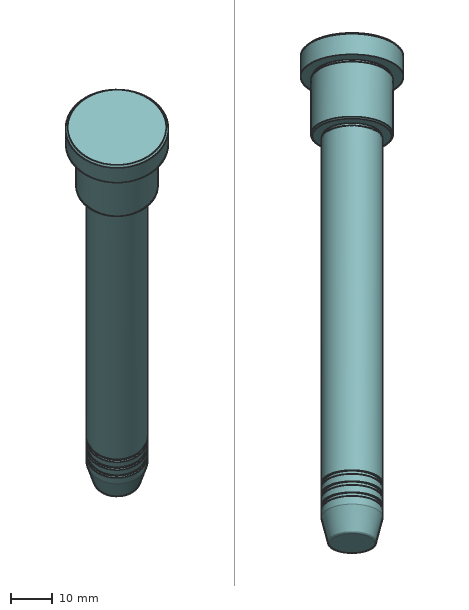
import cadquery as cq

total_length = 132.0
head_height = 6.1
collar_bottom_depth = 22.0
tip_height = 7.0

head_radius = 12.5
collar_radius = 10.0
shank_radius = 7.5
tip_radius = 5.8

head_chamfer = 0.5
collar_chamfer = 0.4
tip_fillet = 0.4

relief_height = 0.8
neck_depth = 0.33

groove_count = 3
groove_span = 6.0
groove_pitch = groove_span / (groove_count - 1)
groove_width = 1.0
groove_depth = 0.4
groove_bevel_height = 0.3
lowest_groove_top = 10.2


def cylinder(radius, bottom, top):
    """Solid cylinder on the Z axis between two heights."""
    return cq.Workplane("XY").workplane(offset=bottom).circle(radius).extrude(top - bottom)


def bevelled_groove(radius, top, width):
    """Ring with a flat upper wall, a straight floor and a bevelled lower wall."""
    floor_radius = radius - groove_depth
    bottom = top - width
    outline = [
        (radius, top),
        (floor_radius, top),
        (floor_radius, bottom + groove_bevel_height),
        (radius, bottom),
    ]
    return cq.Workplane("XZ").polyline(outline).close().revolve(360, (0, 0), (0, 1))


head_bottom = total_length - head_height
collar_bottom = total_length - collar_bottom_depth

head = cylinder(head_radius, head_bottom, total_length).faces(">Z").edges().chamfer(head_chamfer)
collar = cylinder(collar_radius, collar_bottom, head_bottom).faces("<Z").edges().chamfer(collar_chamfer)
neck = cylinder(shank_radius - neck_depth, collar_bottom - relief_height, collar_bottom)
shank = cylinder(shank_radius, tip_height, collar_bottom - relief_height)

tip = (
    cq.Workplane("XY")
    .circle(tip_radius)
    .workplane(offset=tip_height)
    .circle(shank_radius)
    .loft()
    .faces("<Z")
    .edges()
    .fillet(tip_fillet)
)

result = head.union(collar).union(neck).union(shank).union(tip)

result = result.cut(bevelled_groove(collar_radius, head_bottom, relief_height))

for index in range(groove_count):
    groove_top = lowest_groove_top + index * groove_pitch
    result = result.cut(bevelled_groove(shank_radius, groove_top, groove_width))